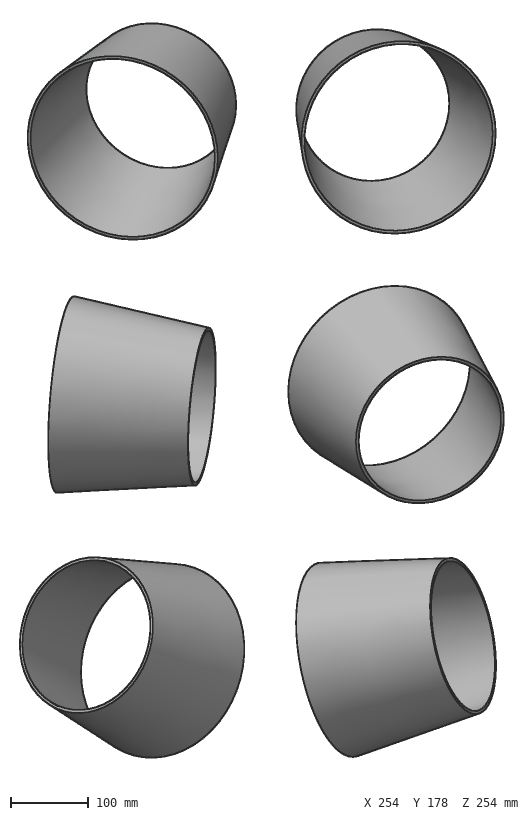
import cadquery as cq

large_diameter = 254.0
small_diameter = 204.0
length = 178.0
wall = 4.0

large_radius = large_diameter / 2
small_radius = small_diameter / 2

wall_section = cq.Workplane("XY").polyline([
    (large_radius - wall, 0),
    (large_radius, 0),
    (small_radius, length),
    (small_radius - wall, length),
]).close()

result = wall_section.revolve(360, (0, 0, 0), (0, 1, 0))